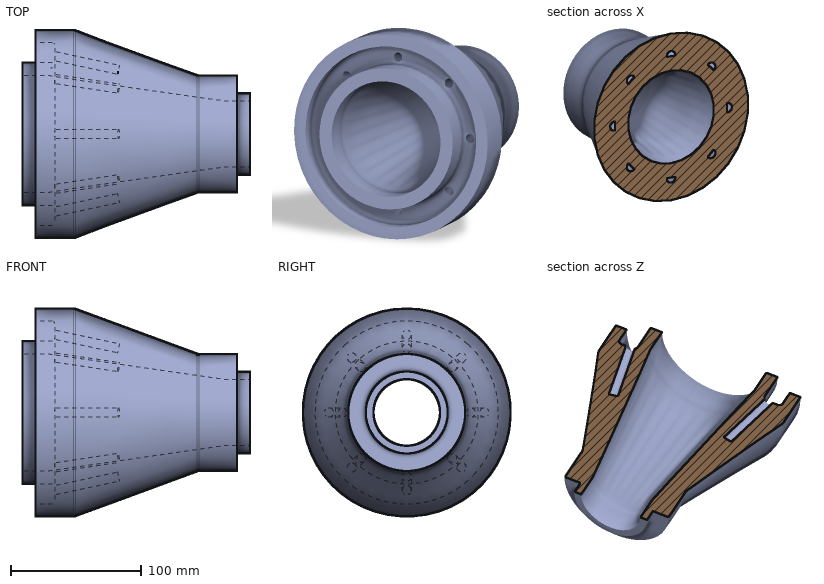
import cadquery as cq
import math

overall_length = 175.0
hub_projection = 10.0
ring_length = 30.0
bore_straight_length = 20.0
large_ring_face_x = hub_projection
large_cone_x = large_ring_face_x + ring_length
small_ring_face_x = overall_length - hub_projection
small_cone_x = small_ring_face_x - ring_length
bore_taper_start_x = bore_straight_length
bore_taper_end_x = overall_length - bore_straight_length

large_ring_radius = 160.0 / 2
large_hub_radius = 110.0 / 2
large_bore_radius = 90.0 / 2
small_ring_radius = 90.0 / 2
small_hub_radius = 63.0 / 2
small_bore_radius = 51.0 / 2

taper_blend_radius = 4.0

groove_outer_radius = 141.0 / 2
groove_floor_x = 25.0
groove_fillet_radius = 3.0

hole_count = 8
hole_circle_radius = 119.5 / 2
hole_diameter = 7.0
hole_depth = 50.0
hole_slope = math.radians(12.0)

selection_margin = 0.5


def ring_edge_at(body, x, radius):
    """The circular edge about the X axis at the given station and radius."""
    reach = radius + selection_margin
    inner = radius - selection_margin
    lower = (x - selection_margin, -reach, -reach)
    upper = (x + selection_margin, reach, reach)
    station_box = cq.selectors.BoxSelector(lower, upper, boundingbox=True)
    return body.edges("%CIRCLE").edges(station_box).filter(lambda edge: edge.radius() > inner)


def make_body():
    """Revolved section: hubs, rings, outer cone, groove and tapered bore."""
    section = (
        cq.Workplane("XZ")
        .moveTo(0, large_bore_radius)
        .lineTo(0, large_hub_radius)
        .lineTo(groove_floor_x, large_hub_radius)
        .lineTo(groove_floor_x, groove_outer_radius)
        .lineTo(large_ring_face_x, groove_outer_radius)
        .lineTo(large_ring_face_x, large_ring_radius)
        .lineTo(large_cone_x, large_ring_radius)
        .lineTo(small_cone_x, small_ring_radius)
        .lineTo(small_ring_face_x, small_ring_radius)
        .lineTo(small_ring_face_x, small_hub_radius)
        .lineTo(overall_length, small_hub_radius)
        .lineTo(overall_length, small_bore_radius)
        .lineTo(bore_taper_end_x, small_bore_radius)
        .lineTo(bore_taper_start_x, large_bore_radius)
        .close()
    )
    return section.revolve(360, (0, 0, 0), (1, 0, 0))


def round_corners(body):
    """Round the groove floor and blend both ends of the outer cone and bore taper."""
    corners = [
        (groove_floor_x, large_hub_radius, groove_fillet_radius),
        (groove_floor_x, groove_outer_radius, groove_fillet_radius),
        (large_cone_x, large_ring_radius, taper_blend_radius),
        (small_cone_x, small_ring_radius, taper_blend_radius),
        (bore_taper_start_x, large_bore_radius, taper_blend_radius),
        (bore_taper_end_x, small_bore_radius, taper_blend_radius),
    ]
    for x, radius, fillet_radius in corners:
        body = ring_edge_at(body, x, radius).fillet(fillet_radius)
    return body


def make_sloping_hole(angle):
    """Blind round hole from the groove floor, leaning toward the axis as it goes in."""
    direction = cq.Vector(math.cos(hole_slope), 0, -math.sin(hole_slope))
    floor_point = cq.Vector(groove_floor_x, 0, hole_circle_radius)
    lead_in = hole_diameter * math.tan(hole_slope)
    hole = cq.Solid.makeCylinder(
        hole_diameter / 2,
        hole_depth + lead_in,
        floor_point - direction * lead_in,
        direction,
    )
    return hole.rotate(cq.Vector(0, 0, 0), cq.Vector(1, 0, 0), angle)


result = round_corners(make_body())
for hole_index in range(hole_count):
    result = result.cut(make_sloping_hole(hole_index * 360 / hole_count))